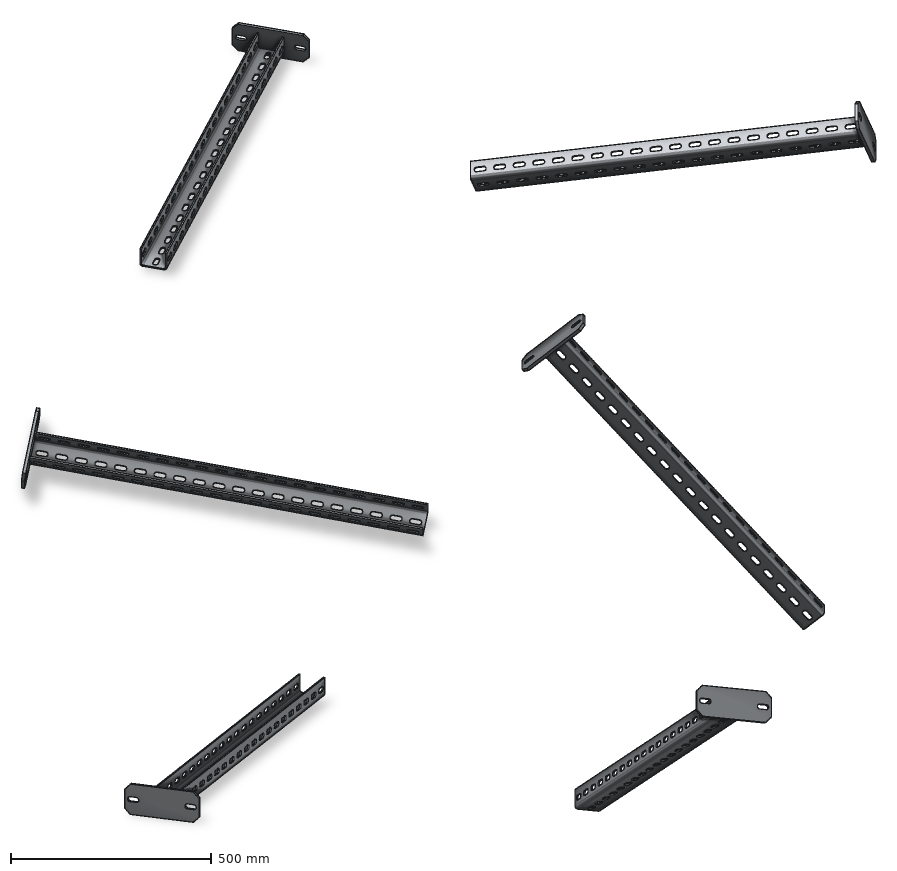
import cadquery as cq

total_length = 1008.0

plate_width = 200.0
plate_height = 80.0
plate_thickness = 8.0
plate_corner_cut = 15.0
plate_slot_spacing = 154.0

channel_length = total_length - plate_thickness
channel_width = 71.0
channel_height = 50.0
sheet_thickness = 4.0
inner_bend_radius = 4.5
outer_bend_radius = inner_bend_radius + sheet_thickness

slot_length = 30.0
slot_width = 13.0
slots_per_row = 20
slot_pitch = channel_length / slots_per_row


def make_plate():
    """Upright plate with cut corners; its front face lies on Y = 0."""
    blank = (
        cq.Workplane("XY")
        .box(plate_width, plate_thickness, plate_height, centered=(True, False, True))
        .edges("|Y")
        .chamfer(plate_corner_cut)
    )
    mounting_slots = (
        cq.Workplane("XZ")
        .pushPoints([(-plate_slot_spacing / 2, 0), (plate_slot_spacing / 2, 0)])
        .slot2D(slot_length, slot_width)
        .extrude(-plate_thickness)
    )
    return blank.cut(mounting_slots)


def make_channel_blank():
    """U-shaped profile with rounded bends, running from the plate towards -Y."""
    outside = (
        cq.Workplane("XZ")
        .rect(channel_width, channel_height)
        .extrude(channel_length)
        .edges("|Y and <Z")
        .fillet(outer_bend_radius)
    )
    inside = (
        cq.Workplane("XZ")
        .center(0, sheet_thickness)
        .rect(channel_width - 2 * sheet_thickness, channel_height)
        .extrude(channel_length)
        .edges("|Y and <Z")
        .fillet(inner_bend_radius)
    )
    return outside.cut(inside)


def make_channel():
    """Channel with one row of lengthwise slots in the floor and in each wall."""
    row_places = [-(number + 0.5) * slot_pitch for number in range(slots_per_row)]
    floor_slots = (
        cq.Workplane("XY", origin=(0, 0, -channel_height / 2))
        .pushPoints([(0, y) for y in row_places])
        .slot2D(slot_length, slot_width, 90)
        .extrude(sheet_thickness)
    )
    wall_slots = (
        cq.Workplane("YZ")
        .pushPoints([(y, 0) for y in row_places])
        .slot2D(slot_length, slot_width)
        .extrude(channel_width / 2, both=True)
    )
    return make_channel_blank().cut(floor_slots).cut(wall_slots)


plate = make_plate()
channel = make_channel()
result = cq.Compound.makeCompound([plate.val(), channel.val()])